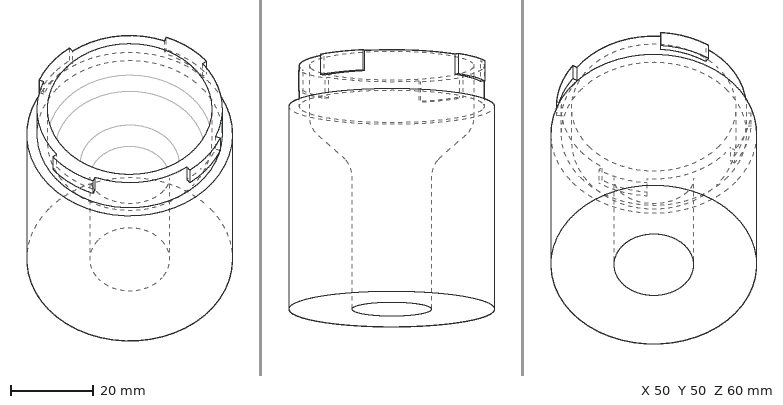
import cadquery as cq
import math

height = 60.0
body_radius = 50.0 / 2
neck_radius = 22.5
neck_height = 10.0
body_height = height - neck_height

tab_radius = 23.7
tab_height = neck_height / 2
tab_count = 4
tab_start_angle = 60
tab_sweep = 30

bore_radius = 20.0
bore_depth = 12.55
throat_radius = 9.65
cone_slope = math.radians(48)
entry_round = 5.5
throat_round = 7.25


def arc_point(center, radius, angle):
    """Point in the radius-height plane at an angle from the radial direction."""
    return (center[0] + radius * math.cos(angle), center[1] + radius * math.sin(angle))


def cylinder(radius, bottom, top):
    return cq.Workplane("XY").workplane(offset=bottom).circle(radius).extrude(top - bottom)


def tab(start_angle):
    """Ring sector that overlaps the neck and reaches out to the tab radius."""
    profile_points = [
        (0, height - tab_height),
        (tab_radius, height - tab_height),
        (tab_radius, height),
        (0, height),
    ]
    sector = cq.Workplane("XZ").polyline(profile_points).close()
    sector = sector.revolve(tab_sweep, (0, 0, 0), (0, 1, 0))
    return sector.rotate((0, 0, 0), (0, 0, 1), start_angle)


def bore():
    """Revolved funnel whose rounds run tangent into the cone and the straight walls."""
    entry_z = height - bore_depth
    entry_center = (bore_radius - entry_round, entry_z)
    cone_top = arc_point(entry_center, entry_round, -cone_slope)
    entry_mid = arc_point(entry_center, entry_round, -cone_slope / 2)

    throat_center_r = throat_radius + throat_round
    cone_bottom_r = throat_center_r - throat_round * math.cos(cone_slope)
    cone_bottom_z = cone_top[1] - (cone_top[0] - cone_bottom_r) / math.tan(cone_slope)
    throat_z = cone_bottom_z - throat_round * math.sin(cone_slope)
    throat_center = (throat_center_r, throat_z)
    throat_mid = arc_point(throat_center, throat_round, math.pi - cone_slope / 2)

    return (
        cq.Workplane("XZ")
        .moveTo(0, height)
        .lineTo(bore_radius, height)
        .lineTo(bore_radius, entry_z)
        .threePointArc(entry_mid, cone_top)
        .lineTo(cone_bottom_r, cone_bottom_z)
        .threePointArc(throat_mid, (throat_radius, throat_z))
        .lineTo(throat_radius, 0)
        .lineTo(0, 0)
        .close()
        .revolve(360, (0, 0, 0), (0, 1, 0))
    )


result = cylinder(body_radius, 0, body_height).union(cylinder(neck_radius, body_height, height))
for index in range(tab_count):
    result = result.union(tab(tab_start_angle + index * 360 / tab_count))
result = result.cut(bore())